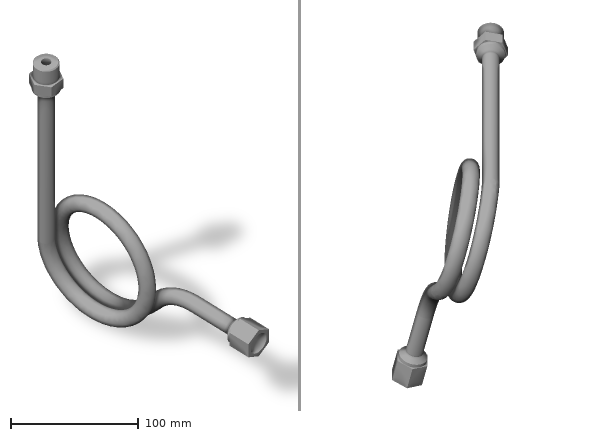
import cadquery as cq
import math


total_length_x = 218.0
total_height = 244.0

tube_diameter = 14.0
bend_radius = 50.0
coil_pitch = 15.98
coil_turns = 1.375
outlet_y = coil_pitch * coil_turns
outlet_angle = 40.0

hex_width = 24.0
hex_corner_diameter = hex_width / math.cos(math.radians(30))
collar_diameter = 23.0
collar_length = 3.0
cone_length = 4.1
thread_diameter = 21.0
thread_length = 15.1
thread_chamfer = 1.0
inlet_hex_length = 10.0
inlet_bore = 8.0
nut_length = 20.0
nut_bore = 18.5

inlet_top_z = total_height - bend_radius - tube_diameter / 2
inlet_hex_z = inlet_top_z - thread_length - inlet_hex_length
outlet_end_x = total_length_x - bend_radius - hex_width / 2
nut_start_x = outlet_end_x - nut_length


def circle_point(angle):
    """Point (x, z) of the coil circle, angle in degrees from +X toward +Z."""
    turn = math.radians(angle)
    return bend_radius * math.cos(turn), bend_radius * math.sin(turn)


def inlet_leg():
    return (
        cq.Workplane("XY")
        .center(-bend_radius, 0)
        .circle(tube_diameter / 2)
        .extrude(inlet_hex_z)
    )


def coil():
    """Helical stretch, starting downward from the inlet leg."""
    helix = cq.Wire.makeHelix(coil_pitch, outlet_y, bend_radius, lefthand=True)
    path = (
        cq.Workplane(helix)
        .rotate((0, 0, 0), (1, 0, 0), -90)
        .rotate((0, 0, 0), (0, 1, 0), 180)
    )
    return (
        cq.Workplane("XY")
        .center(-bend_radius, 0)
        .circle(tube_diameter / 2)
        .sweep(path, isFrenet=True)
    )


def outlet_leg():
    """Planar stretch: gentle transition from the coil, reverse bend, level leg."""
    coil_end_angle = 180 + 360 * coil_turns - 720
    start = circle_point(coil_end_angle)
    tangent_point = circle_point(-outlet_angle)

    sine = math.sin(math.radians(outlet_angle))
    cosine = math.cos(math.radians(outlet_angle))
    tangent_length = bend_radius * (2 * sine - 1) / cosine
    bend_start = (
        tangent_point[0] + tangent_length * sine,
        tangent_point[1] + tangent_length * cosine,
    )
    bend_center_x = bend_start[0] + bend_radius * cosine
    half_angle = math.radians((90 + 180 - outlet_angle) / 2)
    bend_middle = (
        bend_center_x + bend_radius * math.cos(half_angle),
        bend_radius * (math.sin(half_angle) - 1),
    )
    path = (
        cq.Workplane("XZ", origin=(0, outlet_y, 0))
        .moveTo(*start)
        .spline([bend_start], tangents=[(-start[1], start[0]), (sine, cosine)], includeCurrent=True)
        .threePointArc(bend_middle, (bend_center_x, 0))
        .lineTo(nut_start_x, 0)
    )
    section = cq.Plane(
        origin=(start[0], outlet_y, start[1]),
        xDir=(0, 1, 0),
        normal=(-start[1], 0, start[0]),
    )
    return cq.Workplane(section).circle(tube_diameter / 2).sweep(path)


def fitting_neck(hex_length):
    """Cone, collar and hexagon along +Z; the hexagon starts at Z = 0."""
    cone = (
        cq.Workplane("XY", origin=(0, 0, -collar_length - cone_length))
        .circle(tube_diameter / 2)
        .workplane(offset=cone_length)
        .circle(collar_diameter / 2)
        .loft()
    )
    collar = (
        cq.Workplane("XY", origin=(0, 0, -collar_length))
        .circle(collar_diameter / 2)
        .extrude(collar_length)
    )
    hexagon = (
        cq.Workplane("XY")
        .polygon(6, hex_corner_diameter)
        .extrude(hex_length)
        .rotate((0, 0, 0), (0, 0, 1), 90)
    )
    return cone.union(collar).union(hexagon)


def inlet_fitting():
    thread = (
        cq.Workplane("XY", origin=(0, 0, inlet_hex_length))
        .circle(thread_diameter / 2)
        .extrude(thread_length)
        .faces(">Z")
        .chamfer(thread_chamfer)
    )
    body = fitting_neck(inlet_hex_length).union(thread)
    return body.translate((-bend_radius, 0, inlet_hex_z))


def outlet_nut():
    return (
        fitting_neck(nut_length)
        .rotate((0, 0, 0), (0, 1, 0), 90)
        .rotate((0, 0, 0), (1, 0, 0), 90)
        .translate((nut_start_x, outlet_y, 0))
    )


inlet_hole = (
    cq.Workplane("XY", origin=(-bend_radius, 0, inlet_hex_z))
    .circle(inlet_bore / 2)
    .extrude(inlet_top_z - inlet_hex_z)
)
nut_socket = (
    cq.Workplane("YZ", origin=(nut_start_x, outlet_y, 0))
    .circle(nut_bore / 2)
    .extrude(nut_length)
)

result = (
    inlet_leg()
    .union(coil())
    .union(outlet_leg())
    .union(inlet_fitting())
    .union(outlet_nut())
    .cut(inlet_hole)
    .cut(nut_socket)
)